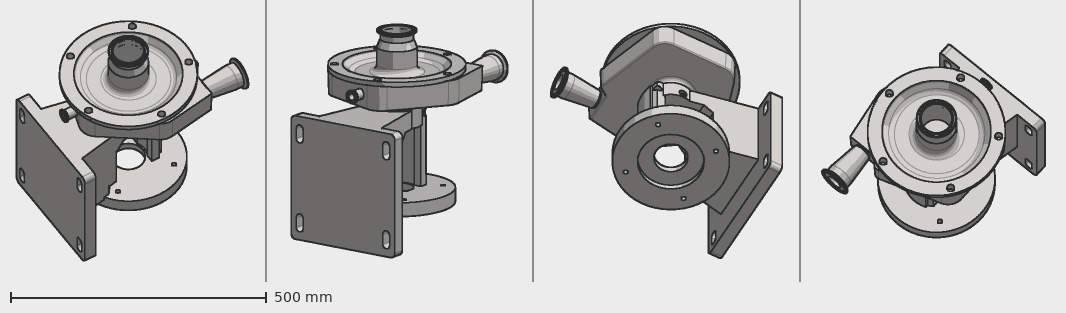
import cadquery as cq
import math


top_z = 403.5
cover_top = 334.0
casing_top = 324.5
casing_bottom = 273.0
hub_top = 253.5
hub_bottom = 213.5
base_top = 84.0
base_bottom = 55.5

plate_size = 250.5
plate_back = -179.5
plate_thickness = 25.5
plate_corner = 11.0
plate_front = plate_back + plate_thickness
slot_x = 104.5
slot_width = 16.5
slot_length = 36.5
slot_heights = (34.5, 215.0)

web_half_width = 75.0
web_taper = 0.2
web_bottom = 77.5
window_front = -63.5
window_chamfer = 19.0
notch_depth = 20.0
notch_height = 21.8
notch_inner_x = 34.5

hub_radius = 50.0
hub_hole_z = 226.5
hub_hole_radius = 8.0
hub_hole_depth = 8.0
column_front = 32.3
column_half_width = 34.5
column_radius = 60.5
rib_half_width = 24.5
rib_radius = 65.0
column_chamfer_y = 19.8
column_chamfer_z = 17.0
column_hole_y = 47.2
column_hole_z = 230.5
column_hole_radius = 7.3
lantern_bore = 37.0
base_radius = 114.5
base_bore = 33.0
base_recess_radius = 65.0
base_recess_depth = 13.0
base_hole_circle = 91.5
base_hole_radius = 4.5

neck_radius = 41.5
neck_flare = 10.5

lobes = 5
apothem = 116.0
casing_draft = 1.5
lobe_round = 35.0
small_lobe_round = 12.0
block_face_y = 115.5
block_side_x = 123.0
block_side_lean = 9.4
casing_edge_round = 3.0

cover_radius = 134.8
dish_radius = 106.5
dish_lip = 1.5
dish_floor = 319.0
dish_floor_radius = 82.7
dish_blend = 16.0
cover_hole_circle = 122.0
cover_hole_radius = 7.3
cover_hole_depth = 24.2

pipe_radius = 39.5
pipe_blend = 14.5
pipe_cone_bottom = 369.2
inlet_neck_radius = 32.5
inlet_neck_bottom = 385.0
inlet_flange_radius = 39.0
inlet_bore = 30.3
inlet_groove = 33.0

port_z = 299.0
outlet_x = 90.5
outlet_root_y = 109.0
outlet_end = 200.5
outlet_groove_radius = 17.5
outlet_groove_width = 2.0
outlet_small_radius = 19.0
outlet_radius = 26.0
outlet_cone_end = 180.0
outlet_flange_radius = 32.3
outlet_bore = 15.7
outlet_face_groove = 26.0

drain_z = 300.5
drain_end = -150.5
drain_radius = 10.5
drain_flange_radius = 13.5
drain_rim = 3.2
drain_bore = 7.0
drain_inner_y = -113.0
drain_groove = 8.0

clamp_rim = 3.0
clamp_bevel = 3.5
clamp_groove_depth = 1.2
clamp_groove_width = 4.0


def cylinder(radius, z_low, z_high):
    return cq.Workplane("XY").workplane(offset=z_low).circle(radius).extrude(z_high - z_low)


def block(x_low, x_high, y_low, y_high, z_low, z_high):
    size = (x_high - x_low, y_high - y_low, z_high - z_low)
    return cq.Workplane("XY").box(*size, centered=False).translate((x_low, y_low, z_low))


def cross_hole(radius, y, z, x_start, length):
    return cq.Workplane("YZ").workplane(offset=x_start).center(y, z).circle(radius).extrude(length)


def clamp_groove(face, inner_radius):
    outline = face.circle(inner_radius + clamp_groove_width).circle(inner_radius)
    return outline.extrude(clamp_groove_depth, both=True)


def make_plate():
    plate = cq.Workplane("XZ", origin=(0, plate_front, plate_size / 2))
    plate = plate.rect(plate_size, plate_size).extrude(plate_thickness).edges("|Y").fillet(plate_corner)
    slot_places = [(x, z) for x in (-slot_x, slot_x) for z in slot_heights]
    slots = (
        cq.Workplane("XZ", origin=(0, plate_front, 0))
        .pushPoints(slot_places)
        .slot2D(slot_length, slot_width, 90)
        .extrude(plate_thickness)
    )
    return plate.cut(slots)


def make_web():
    axis_half_width = web_half_width + web_taper * plate_front
    plan = [
        (-web_half_width, plate_front),
        (web_half_width, plate_front),
        (axis_half_width, 0),
        (-axis_half_width, 0),
    ]
    web = cq.Workplane("XY").workplane(offset=web_bottom).polyline(plan).close()
    web = web.extrude(plate_size - web_bottom)

    window = [
        (0, web_bottom),
        (window_front, web_bottom),
        (window_front, hub_bottom - window_chamfer),
        (window_front + window_chamfer, hub_bottom),
        (0, hub_bottom),
    ]
    web = web.cut(cq.Workplane("YZ").polyline(window).close().extrude(web_half_width, both=True))

    notch_back = window_front - notch_depth
    notch_outer_x = web_half_width + web_taper * (plate_front - notch_back)
    for side in (-1, 1):
        notch_plan = [
            (side * notch_inner_x, window_front),
            (side * notch_outer_x, notch_back),
            (side * web_half_width, notch_back),
            (side * web_half_width, window_front),
        ]
        notch = cq.Workplane("XY").workplane(offset=web_bottom).polyline(notch_plan).close()
        web = web.cut(notch.extrude(base_top + notch_height - web_bottom))
    return web


def make_hub():
    hub = cylinder(hub_radius, hub_bottom, hub_top)
    return hub.cut(cross_hole(hub_hole_radius, 0, hub_hole_z, -hub_radius, hub_hole_depth))


def make_column():
    def strip(half_width, radius):
        bar = block(-half_width, half_width, column_front, radius, base_bottom, hub_top)
        return bar.intersect(cylinder(radius, base_bottom, hub_top))

    column = strip(column_half_width, column_radius).union(strip(rib_half_width, rib_radius))
    column = column.cut(cylinder(lantern_bore, base_top, hub_bottom))
    chamfer = [
        (rib_radius, hub_top),
        (rib_radius - column_chamfer_y, hub_top),
        (rib_radius, hub_top - column_chamfer_z),
    ]
    return column.cut(cq.Workplane("YZ").polyline(chamfer).close().extrude(rib_radius, both=True))


def make_column_hole():
    return cross_hole(
        column_hole_radius, column_hole_y, column_hole_z, -column_half_width, 2 * column_half_width
    )


def make_base_openings():
    holes = (
        cq.Workplane("XY")
        .workplane(offset=base_bottom)
        .polarArray(base_hole_circle, 45, 360, 4)
        .circle(base_hole_radius)
        .extrude(base_top - base_bottom)
    )
    recess = cylinder(base_recess_radius, base_bottom, base_bottom + base_recess_depth)
    return holes.union(cylinder(base_bore, base_bottom, base_top)).union(recess)


def make_neck():
    flare_start = casing_bottom - neck_flare
    neck = (
        cq.Workplane("XZ")
        .moveTo(0, hub_top)
        .lineTo(neck_radius, hub_top)
        .lineTo(neck_radius, flare_start)
        .radiusArc((neck_radius + neck_flare, casing_bottom), neck_flare)
        .lineTo(0, casing_bottom)
        .close()
    )
    return neck.revolve(360, (0, 0), (0, 1))


def make_casing():
    half_step = math.pi / lobes
    corner_distance = apothem / math.cos(half_step)
    corners = [
        (corner_distance * math.cos(2 * i * half_step), corner_distance * math.sin(2 * i * half_step))
        for i in range(1, lobes)
    ]
    side_slope = math.tan(math.radians(block_side_lean))
    side_x_at_axis = block_side_x + block_face_y * side_slope
    cos_half = math.cos(half_step)
    sin_half = math.sin(half_step)
    side_y = (side_x_at_axis * cos_half - apothem) / (side_slope * cos_half + sin_half)
    side_corner = (side_x_at_axis - side_y * side_slope, side_y)
    block_start = ((apothem - block_face_y * sin_half) / cos_half, block_face_y)

    outline = corners + [side_corner, (block_side_x, block_face_y), block_start]
    casing = cq.Workplane("XY").workplane(offset=casing_top).polyline(outline).close()
    casing = casing.extrude(casing_bottom - casing_top, taper=casing_draft)

    def round_corner(body, corner, radius):
        middle = (corner[0], corner[1], (casing_bottom + casing_top) / 2)
        return body.edges(cq.NearestToPointSelector(middle)).fillet(radius)

    casing = round_corner(casing, corners[0], small_lobe_round)
    for corner in corners[1:] + [side_corner]:
        casing = round_corner(casing, corner, lobe_round)
    return casing.faces("<Z").edges().fillet(casing_edge_round)


def make_dish():
    wall_foot_radius = dish_floor_radius + dish_blend * math.sin(math.pi / 4)
    wall_foot_z = dish_floor + dish_blend * (1 - math.cos(math.pi / 4))
    dish = (
        cq.Workplane("XZ")
        .moveTo(0, dish_floor)
        .lineTo(dish_floor_radius, dish_floor)
        .radiusArc((wall_foot_radius, wall_foot_z), -dish_blend)
        .lineTo(dish_radius - dish_lip, cover_top - dish_lip)
        .lineTo(dish_radius, cover_top)
        .lineTo(0, cover_top)
        .close()
    )
    return dish.revolve(360, (0, 0), (0, 1))


def make_cover_holes():
    return (
        cq.Workplane("XY")
        .workplane(offset=cover_top - cover_hole_depth)
        .polarArray(cover_hole_circle, 0, 360, lobes)
        .circle(cover_hole_radius)
        .extrude(cover_hole_depth)
    )


def make_inlet():
    bevel_top = top_z - clamp_rim
    inlet = (
        cq.Workplane("XZ")
        .moveTo(0, dish_floor)
        .lineTo(pipe_radius + pipe_blend, dish_floor)
        .radiusArc((pipe_radius, dish_floor + pipe_blend), pipe_blend)
        .lineTo(pipe_radius, pipe_cone_bottom)
        .lineTo(inlet_neck_radius, inlet_neck_bottom)
        .lineTo(inlet_neck_radius, bevel_top - clamp_bevel)
        .lineTo(inlet_flange_radius, bevel_top)
        .lineTo(inlet_flange_radius, top_z)
        .lineTo(0, top_z)
        .close()
    )
    inlet = inlet.revolve(360, (0, 0), (0, 1))
    return inlet.cut(clamp_groove(cq.Workplane("XY", origin=(0, 0, top_z)), inlet_groove))


def make_outlet():
    groove_end = block_face_y + outlet_groove_width
    bevel_end = outlet_end - clamp_rim
    profile = [
        (0, outlet_root_y),
        (outlet_groove_radius, outlet_root_y),
        (outlet_groove_radius, groove_end),
        (outlet_small_radius, groove_end),
        (outlet_radius, outlet_cone_end),
        (outlet_radius, bevel_end - clamp_bevel),
        (outlet_flange_radius, bevel_end),
        (outlet_flange_radius, outlet_end),
        (0, outlet_end),
    ]
    outlet = cq.Workplane("XY", origin=(outlet_x, 0, port_z)).polyline(profile).close()
    outlet = outlet.revolve(360, (0, 0), (0, 1))
    face = cq.Workplane("XZ", origin=(outlet_x, outlet_end, port_z))
    bore = face.circle(outlet_bore).extrude(outlet_end - block_face_y)
    return outlet.cut(bore).cut(clamp_groove(face, outlet_face_groove))


def make_drain():
    bevel_end = drain_end + drain_rim
    profile = [
        (0, drain_inner_y),
        (drain_radius, drain_inner_y),
        (drain_radius, bevel_end + drain_flange_radius - drain_radius),
        (drain_flange_radius, bevel_end),
        (drain_flange_radius, drain_end),
        (0, drain_end),
    ]
    drain = cq.Workplane("XY", origin=(0, 0, drain_z)).polyline(profile).close()
    drain = drain.revolve(360, (0, 0), (0, 1))
    return drain.cut(clamp_groove(cq.Workplane("XZ", origin=(0, drain_end, drain_z)), drain_groove))


def make_drain_bore():
    start = cq.Workplane("XZ", origin=(0, drain_inner_y, drain_z)).circle(drain_bore)
    return start.extrude(drain_inner_y - drain_end)


bracket = make_plate().union(make_web()).union(make_hub()).union(make_column())
bracket = bracket.cut(make_column_hole())
bracket = bracket.union(cylinder(base_radius, base_bottom, base_top)).cut(make_base_openings())

pump = make_casing().union(cylinder(cover_radius, casing_top, cover_top))
pump = pump.cut(make_dish()).cut(make_cover_holes())
pump = pump.union(make_inlet()).cut(cylinder(inlet_bore, dish_floor, top_z))
pump = pump.union(make_outlet()).union(make_drain())
pump = pump.cut(make_drain_bore())

result = bracket.union(make_neck()).union(pump)